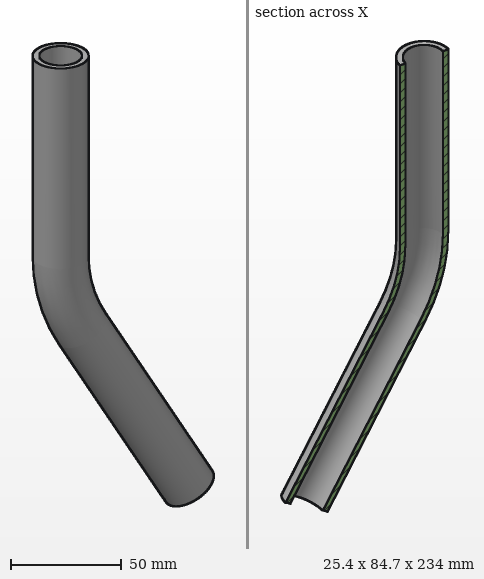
import cadquery as cq
import math

outer_diameter = 25.4
bore_diameter = 19.3
leg_length = 101.6
bend_radius = 76.2
bend_angle = 30.0


def bend_point(angle_degrees):
    """Centreline point (y, z) after turning by the given angle from the upper leg."""
    angle = math.radians(angle_degrees)
    return (bend_radius * (1 - math.cos(angle)), -bend_radius * math.sin(angle))


def centreline():
    """Path from the top of the upright leg, around the bend, to the end of the tilted leg."""
    tilt = math.radians(bend_angle)
    bend_end = bend_point(bend_angle)
    lower_end = (
        bend_end[0] + leg_length * math.sin(tilt),
        bend_end[1] - leg_length * math.cos(tilt),
    )
    return (
        cq.Workplane("YZ")
        .moveTo(0, leg_length)
        .lineTo(0, 0)
        .threePointArc(bend_point(bend_angle / 2), bend_end)
        .lineTo(*lower_end)
    )


def swept_tube():
    """Annular section carried along the centreline, so the bore is open at both ends."""
    section = (
        cq.Workplane("XY", origin=(0, 0, leg_length))
        .circle(outer_diameter / 2)
        .circle(bore_diameter / 2)
    )
    return section.sweep(centreline())


result = swept_tube()